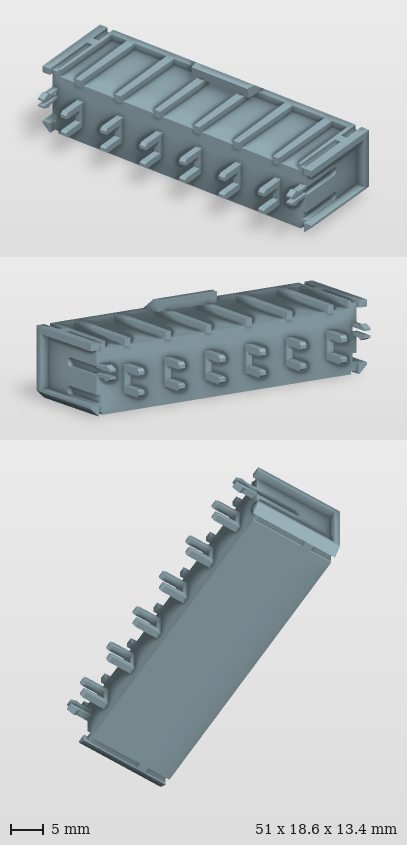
import cadquery as cq


length = 51.05
total_depth = 18.6
total_height = 13.4

housing_height = 11.6
frame_depth = 14.8
frame_front = -frame_depth
body_front = -14.15
frame_width = 1.45
body_half = length / 2 - frame_width

rear_bar = 1.0
top_bar = 1.1
bottom_bar = 1.75
bevel_height = 1.35

way_count = 6
pitch = 7.5
pocket_depth = 1.2
pocket_rear = -1.2
pocket_end_half = 22.55
blade_width = 1.05
rib_taper = 0.18

channel_depth = 0.45
channel_width = 1.05
channel_bridge_rear = -3.85
channel_bridge_front = -5.25
rear_bridge_height = channel_bridge_rear - channel_bridge_front

groove_depth = 0.75
groove_height = 1.45
groove_reach = 6.4
groove_centres = (2.55, 7.05)

latch_depth = 3.9
latch_base_depth = 3.5
latch_slope_depth = 2.3
latch_rear_half = 5.7
latch_front_half = 5.3

pin_bottom = 3.05
pin_top = 7.5
pin_thickness = 1.05
pin_tip_length = 0.45
pin_outer_bevel = 0.35
pin_inner_bevel = 0.15

tine_centre = 7.15
tine_inner = 0.4
tine_outer = 0.9
barb_outer = 1.3
barb_tip_outer = 0.75
barb_start = -16.15
barb_peak = -16.7
tine_front = -17.85


def box(x0, x1, y0, y1, z0, z1):
    """Box between pairs of opposite limits along X, Y and Z."""
    return cq.Workplane("XY").box(x1 - x0, y1 - y0, z1 - z0, centered=False).translate((x0, y0, z0))


def side_profile(points, x_start, width):
    """Closed YZ outline extruded along +X from x_start."""
    return cq.Workplane("YZ").workplane(offset=x_start).polyline(points).close().extrude(width)


def both_ends(shape):
    """The right-hand shape together with its mirror image."""
    return shape.union(shape.mirror("YZ"))


def make_end_frame():
    frame = box(body_half, length / 2, frame_front, 0, 0, housing_height)
    opening = box(body_half, length / 2, frame_front, -rear_bar, bottom_bar, housing_height - top_bar)
    bevel = (
        cq.Workplane("XZ")
        .polyline([(body_half, 0), (length / 2, 0), (length / 2, bevel_height)])
        .close()
        .extrude(frame_depth)
    )
    return frame.cut(opening).cut(bevel)


def make_top_pockets():
    floor = housing_height - pocket_depth
    rear_end = pocket_end_half - rib_taper
    return (
        cq.Workplane("XY")
        .workplane(offset=floor)
        .polyline([
            (-rear_end, pocket_rear),
            (rear_end, pocket_rear),
            (pocket_end_half, body_front),
            (-pocket_end_half, body_front),
        ])
        .close()
        .extrude(pocket_depth)
    )


def make_rib(x_centre):
    front_half = blade_width / 2
    rear_half = front_half + rib_taper
    return (
        cq.Workplane("XY")
        .workplane(offset=housing_height - pocket_depth)
        .center(x_centre, 0)
        .polyline([
            (-rear_half, pocket_rear),
            (rear_half, pocket_rear),
            (front_half, frame_front),
            (-front_half, frame_front),
        ])
        .close()
        .extrude(pocket_depth)
    )


def make_channels():
    """Top, bottom and rear channels, each crossed by one bridge."""
    x0 = body_half - channel_width
    channels = box(x0, body_half, -channel_depth, 0, 0, housing_height)
    bridge_bottom = (housing_height - rear_bridge_height) / 2
    bridge_top = bridge_bottom + rear_bridge_height
    channels = channels.cut(box(x0, body_half, -channel_depth, 0, bridge_bottom, bridge_top))
    for z0 in (0, housing_height - channel_depth):
        z1 = z0 + channel_depth
        channels = channels.union(box(x0, body_half, channel_bridge_rear, 0, z0, z1))
        channels = channels.union(box(x0, body_half, body_front, channel_bridge_front, z0, z1))
    return channels


def make_end_groove(z_centre):
    radius = groove_height / 2
    arc_centre = -groove_reach - radius
    return (
        cq.Workplane("YZ")
        .workplane(offset=body_half - groove_depth)
        .moveTo(body_front, z_centre - radius)
        .lineTo(arc_centre, z_centre - radius)
        .threePointArc((-groove_reach, z_centre), (arc_centre, z_centre + radius))
        .lineTo(body_front, z_centre + radius)
        .close()
        .extrude(groove_depth)
    )


def make_latch():
    profile = side_profile(
        [
            (0, housing_height),
            (-latch_slope_depth, total_height),
            (-latch_depth, total_height),
            (-latch_base_depth, housing_height),
        ],
        -latch_rear_half,
        2 * latch_rear_half,
    )
    plan = (
        cq.Workplane("XY")
        .polyline([
            (-latch_rear_half, 0),
            (latch_rear_half, 0),
            (latch_front_half, -latch_depth),
            (-latch_front_half, -latch_depth),
        ])
        .close()
        .extrude(total_height)
    )
    return profile.intersect(plan)


def make_contact(x_centre):
    """Two bevelled pins joined by a short base at the body front."""
    tip = -total_depth
    bevel_start = tip + pin_tip_length
    outline = [
        (body_front, pin_bottom),
        (bevel_start, pin_bottom),
        (tip, pin_bottom + pin_outer_bevel),
        (tip, pin_bottom + pin_thickness - pin_inner_bevel),
        (bevel_start, pin_bottom + pin_thickness),
        (frame_front, pin_bottom + pin_thickness),
        (frame_front, pin_top - pin_thickness),
        (bevel_start, pin_top - pin_thickness),
        (tip, pin_top - pin_thickness + pin_inner_bevel),
        (tip, pin_top - pin_outer_bevel),
        (bevel_start, pin_top),
        (body_front, pin_top),
    ]
    return side_profile(outline, x_centre - blade_width / 2, blade_width)


def make_tine(direction):
    """One barbed tine; direction is +1 for the upper and -1 for the lower."""
    outline = [
        (body_front, tine_inner),
        (body_front, tine_outer),
        (barb_start, tine_outer),
        (barb_peak, barb_outer),
        (tine_front, barb_tip_outer),
        (tine_front, tine_inner),
    ]
    points = [(y, tine_centre + direction * z) for y, z in outline]
    return side_profile(points, body_half - channel_width, channel_width)


result = box(-body_half, body_half, body_front, 0, 0, housing_height)
result = result.cut(make_top_pockets())
result = result.cut(both_ends(make_channels()))
for groove_z in groove_centres:
    result = result.cut(both_ends(make_end_groove(groove_z)))

result = result.union(both_ends(make_end_frame())).union(make_latch())
for tine_direction in (1, -1):
    result = result.union(both_ends(make_tine(tine_direction)))

for way in range(way_count):
    way_x = (way - (way_count - 1) / 2) * pitch
    result = result.union(make_rib(way_x)).union(make_contact(way_x))